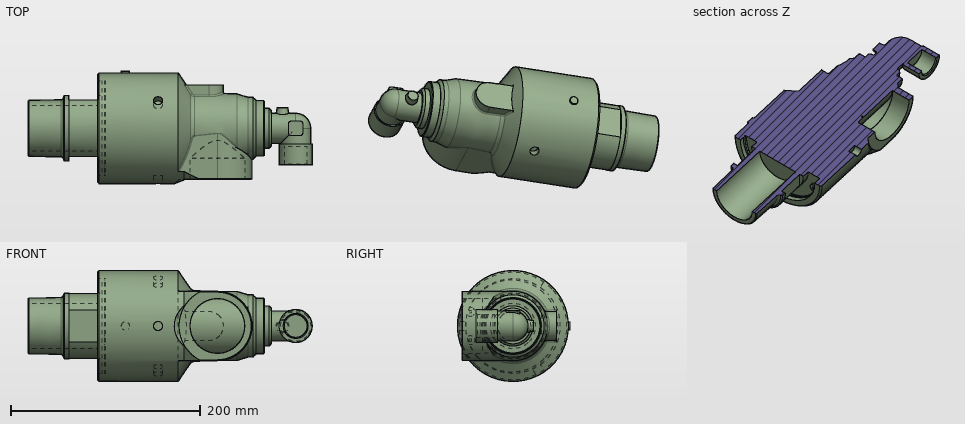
import cadquery as cq


TOTAL_LENGTH = 300.2
TOTAL_WIDTH = 119.2

NIPPLE_TAPER_END = 34.5
COLLAR_START = 38.0
COLLAR_END = 43.0
BODY_START = 73.2
BODY_END = 158.5
NECK_START = 173.0
NECK_END = 220.5
FLANGE_START = 232.3
STEP_START = 240.5
GLAND_START = 249.5
PIPE_START = 257.0
PORT_X = 200.0

NIPPLE_TIP_RADIUS = 29.7
NIPPLE_ROOT_RADIUS = 30.3
COLLAR_RADIUS = 34.8
SHANK_RADIUS = 34.5
NIPPLE_BORE_RADIUS = 47.7 / 2
NIPPLE_BORE_DEPTH = BODY_START
FLAT_DISTANCE = 30.0
EDGE_CHAMFER = 1.0

BODY_RADIUS = 117.5 / 2
BODY_CHAMFER = 1.8
RECESS_RADIUS = 100.0 / 2
RECESS_DEPTH = 8.5

NECK_RADIUS = 37.5
NECK_END_RADIUS = 36.5
NECK_FILLET = 5.0
FLANGE_RADIUS = 33.0
FLANGE_CHAMFER = 3.0
STEP_RADIUS = 29.5
GLAND_RADIUS = 21.3
GLAND_CHAMFER = 2.5

RING_FACE_DEPTH = 4.8
RING_THICKNESS = 2.5
RING_INNER_RADIUS = 48.5
RING_OFFSET = 1.2
LUG_Y = -45.0
LUG_Z = 15.0
LUG_RADIUS = 4.8
LUG_HOLE_RADIUS = 1.5

PORT_FACE_Y = -54.0
PORT_RADIUS = 36.5
PORT_ROOT_FILLET = 1.5
PORT_BORE_RADIUS = 58.0 / 2
PORT_INNER_RADIUS = 28.8
PORT_THREAD_DEPTH = 22.0
BLOCK_START = 132.0
SHOULDER_END = 164.5
FACE_RADIUS = 40.5
FACE_CONE_RADIUS = 60.0
FACE_CONE_HEIGHT = 16.2
FACE_CONE_BASE_Y = PORT_FACE_Y + FACE_CONE_HEIGHT
SPOT_RADIUS = 45.5
CORE_RADIUS = 31.5

BOSS_X = 191.0
BOSS_RADIUS = 15.3
BOSS_TOP_Y = 46.0
BOSS_ROOT_FILLET = 1.8

HOLE_X = 137.2
HOLE_RADIUS = 4.8
HOLE_DEPTH = 9.0
HOLE_COUNT = 3
PIN_X = 102.7
PIN_RADIUS = 8.7 / 2
PIN_TOP_Y = TOTAL_WIDTH - BODY_RADIUS

PIPE_RADIUS = 32.0 / 2
SOCKET_RADIUS = 35.0 / 2
ELBOW_X = TOTAL_LENGTH - SOCKET_RADIUS
SOCKET_START_Y = -16.5
SOCKET_END_Y = -38.7
SOCKET_BORE_RADIUS = 12.0
SOCKET_BORE_DEPTH = 19.5
SOCKET_BORE_CHAMFER = 1.2
PAD_SIZE = 15.0
PAD_CORNER = 2.5
PAD_TOP_Z = 16.2
NUB_X = 268.7
NUB_BASE_RADIUS = 7.2
NUB_TOP_RADIUS = 5.7
NUB_ROOT_Y = 13.5
NUB_TOP_Y = 22.0


def x_cylinder(radius, x_start, x_end, y=0, z=0):
    """Cylinder parallel to X."""
    return cq.Workplane("YZ", origin=(x_start, y, z)).circle(radius).extrude(x_end - x_start)


def y_cylinder(radius, x, y_start, y_end):
    """Cylinder parallel to Y at Z = 0."""
    return cq.Workplane("XZ", origin=(x, y_start, 0)).circle(radius).extrude(y_start - y_end)


def y_cone(x, y_start, start_radius, y_end, end_radius):
    """Truncated cone about a line parallel to Y at Z = 0."""
    profile = [(0, y_start), (start_radius, y_start), (end_radius, y_end), (0, y_end)]
    return cq.Workplane("XY", origin=(x, 0, 0)).polyline(profile).close().revolve(360, (0, 0), (0, 1))


def nipple_and_shank():
    """Tapered nipple, collar and shank with two wrench flats, reaching the recess floor."""
    fillet_top = COLLAR_RADIUS - 2 * EDGE_CHAMFER
    blank = (
        cq.Workplane("XY")
        .moveTo(0, 0)
        .lineTo(0, NIPPLE_TIP_RADIUS - EDGE_CHAMFER)
        .lineTo(EDGE_CHAMFER, NIPPLE_TIP_RADIUS)
        .lineTo(NIPPLE_TAPER_END, NIPPLE_ROOT_RADIUS)
        .tangentArcPoint((COLLAR_START - EDGE_CHAMFER, fillet_top), relative=False)
        .lineTo(COLLAR_START, COLLAR_RADIUS)
        .lineTo(COLLAR_END, COLLAR_RADIUS)
        .lineTo(COLLAR_END, SHANK_RADIUS)
        .lineTo(BODY_START, SHANK_RADIUS)
        .lineTo(BODY_START, COLLAR_RADIUS)
        .lineTo(BODY_START + RECESS_DEPTH, COLLAR_RADIUS)
        .lineTo(BODY_START + RECESS_DEPTH, 0)
        .close()
        .revolve(360, (0, 0), (1, 0))
    )
    flat_length = BODY_START - COLLAR_END
    for side in (-1, 1):
        cutter = cq.Workplane("XY").box(flat_length, COLLAR_RADIUS, 2 * COLLAR_RADIUS)
        flat_x = (COLLAR_END + BODY_START) / 2
        blank = blank.cut(cutter.translate((flat_x, side * (FLAT_DISTANCE + COLLAR_RADIUS / 2), 0)))
    return blank


def body_and_neck():
    """Main body, conical shoulder, tapered neck, flange and gland."""
    profile = [
        (BODY_START, 0),
        (BODY_START, BODY_RADIUS - BODY_CHAMFER),
        (BODY_START + BODY_CHAMFER, BODY_RADIUS),
        (BODY_END, BODY_RADIUS),
        (NECK_START, NECK_RADIUS),
        (NECK_END, NECK_END_RADIUS),
        (FLANGE_START, FLANGE_RADIUS),
        (STEP_START - FLANGE_CHAMFER, FLANGE_RADIUS),
        (STEP_START, FLANGE_RADIUS - FLANGE_CHAMFER),
        (STEP_START, STEP_RADIUS),
        (GLAND_START - EDGE_CHAMFER, STEP_RADIUS),
        (GLAND_START, STEP_RADIUS - EDGE_CHAMFER),
        (GLAND_START, GLAND_RADIUS),
        (PIPE_START - GLAND_CHAMFER, GLAND_RADIUS),
        (PIPE_START, GLAND_RADIUS - GLAND_CHAMFER),
        (PIPE_START, 0),
    ]
    turned = cq.Workplane("XY").polyline(profile).close().revolve(360, (0, 0), (1, 0))
    waist = cq.selectors.BoxSelector(
        (NECK_START - EDGE_CHAMFER, -BODY_RADIUS, -BODY_RADIUS),
        (NECK_START + EDGE_CHAMFER, BODY_RADIUS, BODY_RADIUS),
        boundingbox=True,
    )
    turned = turned.edges(waist).fillet(NECK_FILLET)
    return turned.cut(x_cylinder(RECESS_RADIUS, BODY_START, BODY_START + RECESS_DEPTH))


def round_ended_slab(x_start, x_centre, radius, y_start, y_end):
    """Block along Y with flat sides, square at x_start and half-round about x_centre."""
    return (
        cq.Workplane("XZ", origin=(0, y_start, 0))
        .moveTo(x_start, -radius)
        .lineTo(x_centre, -radius)
        .threePointArc((x_centre + radius, 0), (x_centre, radius))
        .lineTo(x_start, radius)
        .close()
        .extrude(y_start - y_end)
    )


def side_port():
    """Port block whose face is bevelled down to the body surface."""
    slab = round_ended_slab(BLOCK_START, PORT_X, PORT_RADIUS, 0, PORT_FACE_Y)
    slab = slab.faces("<Y").edges(">X").chamfer(EDGE_CHAMFER)
    bevel = y_cone(PORT_X, PORT_FACE_Y, FACE_RADIUS, FACE_CONE_BASE_Y, FACE_CONE_RADIUS)
    root = y_cylinder(2 * BODY_RADIUS, PORT_X, 0, FACE_CONE_BASE_Y)
    shoulder = x_cylinder(BODY_RADIUS, BLOCK_START, SHOULDER_END)
    shoulder_slab = round_ended_slab(BLOCK_START, PORT_X, PORT_RADIUS, 0, -BODY_RADIUS)
    return slab.intersect(bevel.union(root)).union(shoulder_slab.intersect(shoulder))


def rear_boss():
    """Small round-ended boss opposite the port."""
    return round_ended_slab(BODY_END, BOSS_X, BOSS_RADIUS, BOSS_TOP_Y, 0)


def housing():
    """Body with the port and boss, blended where their sides rise from the shoulder and neck."""
    blank = body_and_neck().union(side_port()).union(rear_boss())
    port_roots = cq.selectors.BoxSelector(
        (BODY_END, FACE_CONE_BASE_Y, -PORT_RADIUS - EDGE_CHAMFER),
        (NECK_START - NECK_FILLET, -PORT_RADIUS / 2, PORT_RADIUS + EDGE_CHAMFER),
    )
    boss_roots = cq.selectors.BoxSelector(
        (BODY_END, BOSS_RADIUS, -BOSS_RADIUS - EDGE_CHAMFER),
        (NECK_END, BOSS_TOP_Y - EDGE_CHAMFER, BOSS_RADIUS + EDGE_CHAMFER),
    )
    blank = blank.edges(port_roots).fillet(PORT_ROOT_FILLET)
    return blank.edges(boss_roots).fillet(BOSS_ROOT_FILLET)


def retaining_ring():
    """Open ring in the recess, thinner towards its two lugs."""
    ring_start = BODY_START + RING_FACE_DEPTH
    ring_end = ring_start + RING_THICKNESS
    room = x_cylinder(RECESS_RADIUS, ring_start, ring_end)
    ring = room.cut(x_cylinder(RING_INNER_RADIUS, ring_start, ring_end, y=-RING_OFFSET))
    gap = cq.Workplane("XY").box(RING_THICKNESS, RECESS_RADIUS, 2 * LUG_Z)
    ring = ring.cut(gap.translate(((ring_start + ring_end) / 2, -RECESS_RADIUS, 0)))
    for z in (-LUG_Z, LUG_Z):
        lug = x_cylinder(LUG_RADIUS, ring_start, ring_end, LUG_Y, z).intersect(room)
        ring = ring.union(lug).cut(x_cylinder(LUG_HOLE_RADIUS, ring_start, ring_end, LUG_Y, z))
    return ring


def elbow():
    """Right-angle pipe ending in a socket that faces -Y, with a square pad and a nub."""
    run = x_cylinder(PIPE_RADIUS, PIPE_START, ELBOW_X)
    knee = cq.Workplane("XY", origin=(ELBOW_X, 0, 0)).sphere(PIPE_RADIUS)
    drop = y_cylinder(PIPE_RADIUS, ELBOW_X, 0, SOCKET_START_Y)
    socket = y_cylinder(SOCKET_RADIUS, ELBOW_X, SOCKET_START_Y, SOCKET_END_Y)
    pad = (
        cq.Workplane("XY", origin=(ELBOW_X, 0, 0))
        .rect(PAD_SIZE, PAD_SIZE)
        .extrude(PAD_TOP_Z)
        .edges("|Z")
        .fillet(PAD_CORNER)
    )
    nub = y_cone(NUB_X, NUB_ROOT_Y, NUB_BASE_RADIUS, NUB_TOP_Y, NUB_TOP_RADIUS)
    bore = y_cylinder(SOCKET_BORE_RADIUS, ELBOW_X, SOCKET_END_Y + SOCKET_BORE_DEPTH, SOCKET_END_Y)
    mouth = y_cone(
        ELBOW_X,
        SOCKET_END_Y,
        SOCKET_BORE_RADIUS + SOCKET_BORE_CHAMFER,
        SOCKET_END_Y + SOCKET_BORE_CHAMFER,
        SOCKET_BORE_RADIUS,
    )
    pipe = run.union(knee).union(drop).union(socket).union(pad).union(nub)
    return pipe.cut(bore).cut(mouth)


def radial_holes():
    """Blind holes evenly spaced around the body, the first one facing -Y."""
    first = y_cylinder(HOLE_RADIUS, HOLE_X, HOLE_DEPTH - BODY_RADIUS, -BODY_RADIUS - HOLE_DEPTH)
    holes = first
    for i in range(1, HOLE_COUNT):
        holes = holes.union(first.rotate((0, 0, 0), (1, 0, 0), i * 360 / HOLE_COUNT))
    return holes


def passages():
    """Blind nipple bore, and the side port bore that ends on a round core along X."""
    thread_end_y = PORT_FACE_Y + PORT_THREAD_DEPTH
    thread = y_cylinder(PORT_BORE_RADIUS, PORT_X, thread_end_y, PORT_FACE_Y)
    inner = y_cylinder(PORT_INNER_RADIUS, PORT_X, 0, thread_end_y)
    core = x_cylinder(CORE_RADIUS, BODY_END, NECK_END + CORE_RADIUS)
    nipple_bore = x_cylinder(NIPPLE_BORE_RADIUS, 0, NIPPLE_BORE_DEPTH)
    return thread.union(inner).cut(core).union(nipple_bore)


spot_clearance = y_cone(PORT_X, PORT_FACE_Y, FACE_RADIUS, -BODY_RADIUS, SPOT_RADIUS)
pin = y_cylinder(PIN_RADIUS, PIN_X, PIN_TOP_Y, BODY_RADIUS - HOLE_DEPTH)

result = housing().cut(spot_clearance)
result = result.union(nipple_and_shank()).union(retaining_ring()).union(elbow()).union(pin)
result = result.cut(passages()).cut(radial_holes())